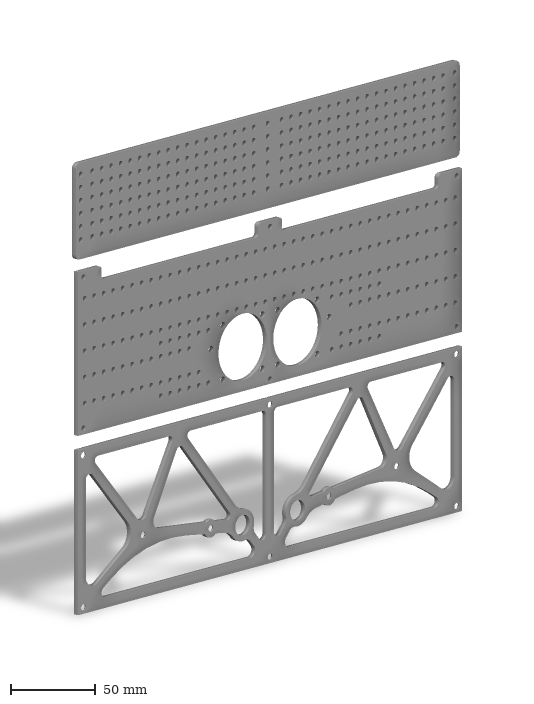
import cadquery as cq
import math


THICKNESS = 3.15
PLATE_WIDTH = 323.5
ASSEMBLY_WIDTH = 325.5
PITCH = 40.0 / 5
GRID_HOLE_DIAMETER = 3.3
SCREW_Y = 157.2
RING_Y = 23.0

FRAME_HEIGHT = 100.5
RIM = 6.5
CORNER_SCREW_INSET = 4.0
COUNTERSINK_DIAMETER = 8.5
FRAME_HOLE_DIAMETER = 4.0
HUB_HOLE_CENTER = (106.8, 38.0)
ARM_HOLE_CENTER = (49.8, 31.0)
ARM_PAD_DIAMETER = 11.0
EYE_CENTER = (RING_Y, 27.7)
EYE_HOLE_DIAMETER = 12.5
EYE_DIAMETER = 19.5

FRAME_GAP = 8.8
MIDDLE_BOTTOM = FRAME_HEIGHT + FRAME_GAP
MIDDLE_HEIGHT = 100.0
MIDDLE_TOP = MIDDLE_BOTTOM + MIDDLE_HEIGHT
MIDDLE_COLUMNS = 40
MIDDLE_FIRST_ROW = 17.2
MIDDLE_ROWS = [
    (0, 0, MIDDLE_COLUMNS // 2),
    (2, 0, MIDDLE_COLUMNS // 2),
    (4, 0, MIDDLE_COLUMNS // 2),
    (5, 8, 6),
    (6, 0, 12),
    (8, 0, 13),
    (9, 8, 6),
]
NOTCH_DEPTH = 8.5
NOTCH_INNER_Y = 10.0
NOTCH_OUTER_Y = 142.0
NOTCH_RADIUS = 2.3
EDGE_SCREW_DIAMETER = 3.3
EDGE_SCREW_INSET = 4.0
CENTER_SCREW_INSET = 3.0
OPENING_DIAMETER = 40.7
OPENING_Z = MIDDLE_BOTTOM + 27.0
OPENING_SCREW_DIAMETER = 4.0
OPENING_SCREW_OFFSET = 16.5
SIDE_HOLE_Y = 49.8
SIDE_HOLE_RISE = 4.0

MIDDLE_GAP = 7.5
STRIP_BOTTOM = MIDDLE_TOP + MIDDLE_GAP
STRIP_HEIGHT = 59.0
STRIP_Y = PLATE_WIDTH - ASSEMBLY_WIDTH
STRIP_RADIUS = 3.3
STRIP_ROWS = 6
STRIP_FIRST_ROW = 7.0
STRIP_GROUP_COLUMNS = 18
STRIP_GROUP_START = 11.7
STRIP_EDGE_COLUMN = 157.5


def face_plane():
    """Front face, drawn in Y and Z and extruded along +X."""
    return cq.Workplane("YZ")


def drill(plate, centers, diameter):
    """Cut round holes through a plate."""
    pins = face_plane().pushPoints(centers).circle(diameter / 2).extrude(THICKNESS)
    return plate.cut(pins)


def mirrored(points):
    """The points together with their mirror images across Y = 0."""
    return points + [(-y, z) for y, z in points]


def rounded_prism(corners):
    """Plate-thick prism over a polygon of (y, z, radius) corners, each rounded by its radius."""
    outline = None
    for index, (y, z, radius) in enumerate(corners):
        corner = cq.Vector(y, z)
        before = cq.Vector(*corners[index - 1][:2]) - corner
        after = cq.Vector(*corners[(index + 1) % len(corners)][:2]) - corner
        before = before.normalized()
        after = after.normalized()
        half_angle = before.getAngle(after) / 2
        tangent_length = radius / math.tan(half_angle)
        start = corner + before * tangent_length
        end = corner + after * tangent_length
        bisector = (before + after).normalized()
        middle = corner + bisector * (radius / math.sin(half_angle) - radius)
        if outline is None:
            outline = face_plane().moveTo(start.x, start.y)
        else:
            outline = outline.lineTo(start.x, start.y)
        outline = outline.threePointArc((middle.x, middle.y), (end.x, end.y))
    return outline.close().extrude(THICKNESS)


WINDOW_SIDE = PLATE_WIDTH / 2 - RIM
WINDOW_TOP = FRAME_HEIGHT - RIM
POST_SIDE = RIM / 2

SIDE_WINDOW = [
    (WINDOW_SIDE, 89.8, 3.3),
    (112.0, 39.5, 11.0),
    (WINDOW_SIDE, 9.8, 6.5),
]
UPPER_WINDOW = [
    (150.7, WINDOW_TOP, 2.5),
    (80.5, WINDOW_TOP, 2.5),
    (107.5, 44.0, 4.5),
]
MIDDLE_WINDOW = [
    (76.5, 89.0, 3.3),
    (30.3, 33.0, 2.3),
    (101.2, 40.5, 5.2),
]
POST_WINDOW = [
    (72.5, WINDOW_TOP, 2.5),
    (POST_SIDE, WINDOW_TOP, 3.3),
    (POST_SIDE, 9.5, 3.3),
]
LOWER_WINDOW = [
    (149.5, RIM, 3.3),
    (105.5, 35.8, 91.0),
    (22.5, 23.8, 1.0),
    (8.0, RIM, 4.0),
]
MATCH_TOLERANCE = 0.003
EYE_BLEND_FAR = 13.0
EYE_BLEND_NEAR = 5.0


def eye_window(corners):
    """Window that leaves room for the round eye, blended where the eye meets the bars."""
    eye = face_plane().center(*EYE_CENTER).circle(EYE_DIAMETER / 2).extrude(THICKNESS)
    window = rounded_prism(corners).cut(eye)
    junctions = []
    for edge in window.edges("|X").vals():
        point = edge.Center()
        reach = math.hypot(point.y - EYE_CENTER[0], point.z - EYE_CENTER[1])
        if abs(reach - EYE_DIAMETER / 2) < MATCH_TOLERANCE:
            junctions.append(edge)
    near, far = [edge.Center().toTuple() for edge in sorted(junctions, key=lambda edge: edge.Center().y)]
    window = window.edges(cq.NearestToPointSelector(near)).fillet(EYE_BLEND_NEAR)
    return window.edges(cq.NearestToPointSelector(far)).fillet(EYE_BLEND_FAR)


def make_frame():
    frame = face_plane().rect(PLATE_WIDTH, FRAME_HEIGHT).extrude(THICKNESS)
    frame = frame.translate((0, 0, FRAME_HEIGHT / 2))
    windows = [rounded_prism(corners) for corners in (SIDE_WINDOW, UPPER_WINDOW, MIDDLE_WINDOW)]
    windows += [eye_window(corners) for corners in (POST_WINDOW, LOWER_WINDOW)]
    for window in windows:
        frame = frame.cut(window).cut(window.mirror("XZ"))

    pads = face_plane().pushPoints(mirrored([ARM_HOLE_CENTER])).circle(ARM_PAD_DIAMETER / 2)
    frame = frame.union(pads.extrude(THICKNESS))
    frame = drill(frame, mirrored([EYE_CENTER]), EYE_HOLE_DIAMETER)

    screws = mirrored([HUB_HOLE_CENTER, ARM_HOLE_CENTER])
    for z in (CORNER_SCREW_INSET, FRAME_HEIGHT - CORNER_SCREW_INSET):
        screws += [(y, z) for y in (-SCREW_Y, 0, SCREW_Y)]
    frame = drill(frame, screws, FRAME_HOLE_DIAMETER)
    sink_depth = (COUNTERSINK_DIAMETER - FRAME_HOLE_DIAMETER) / 2
    for y, z in screws:
        sink = cq.Solid.makeCone(
            COUNTERSINK_DIAMETER / 2,
            FRAME_HOLE_DIAMETER / 2,
            sink_depth,
            pnt=cq.Vector(0, y, z),
            dir=cq.Vector(1, 0, 0),
        )
        frame = frame.cut(cq.Workplane(sink))
    return frame


def notch(inner_y, outer_y):
    """Shallow recess in the top edge, rounded at its floor and at its mouth."""
    floor = MIDDLE_TOP - NOTCH_DEPTH
    r = NOTCH_RADIUS
    s = r * math.sqrt(0.5)
    return (
        face_plane()
        .moveTo(inner_y - r, MIDDLE_TOP)
        .threePointArc((inner_y - r + s, MIDDLE_TOP - r + s), (inner_y, MIDDLE_TOP - r))
        .lineTo(inner_y, floor + r)
        .threePointArc((inner_y + r - s, floor + r - s), (inner_y + r, floor))
        .lineTo(outer_y - r, floor)
        .threePointArc((outer_y - r + s, floor + r - s), (outer_y, floor + r))
        .lineTo(outer_y, MIDDLE_TOP - r)
        .threePointArc((outer_y + r - s, MIDDLE_TOP - r + s), (outer_y + r, MIDDLE_TOP))
        .close()
        .extrude(THICKNESS)
    )


def middle_grid():
    """Centres of the grid holes on the +Y half of the middle plate."""
    first_row = MIDDLE_TOP - MIDDLE_FIRST_ROW
    outer_y = PITCH * (MIDDLE_COLUMNS - 1) / 2
    return [
        (outer_y - PITCH * column, first_row - PITCH * depth)
        for depth, start, count in MIDDLE_ROWS
        for column in range(start, start + count)
    ]


def make_middle_plate():
    plate = face_plane().rect(PLATE_WIDTH, MIDDLE_HEIGHT).extrude(THICKNESS)
    plate = plate.translate((0, 0, MIDDLE_BOTTOM + MIDDLE_HEIGHT / 2))
    recess = notch(NOTCH_INNER_Y, NOTCH_OUTER_Y)
    plate = plate.cut(recess).cut(recess.mirror("XZ"))
    plate = drill(plate, mirrored([(RING_Y, OPENING_Z)]), OPENING_DIAMETER)
    plate = drill(plate, mirrored(middle_grid()), GRID_HOLE_DIAMETER)

    offsets = (-OPENING_SCREW_OFFSET, OPENING_SCREW_OFFSET)
    opening_screws = [(RING_Y + dy, OPENING_Z + dz) for dy in offsets for dz in offsets]
    opening_screws.append((SIDE_HOLE_Y, OPENING_Z + SIDE_HOLE_RISE))
    edge_screws = mirrored([
        (SCREW_Y, MIDDLE_TOP - EDGE_SCREW_INSET),
        (SCREW_Y, MIDDLE_BOTTOM + EDGE_SCREW_INSET),
    ])
    edge_screws.append((0, MIDDLE_TOP - EDGE_SCREW_INSET))
    edge_screws.append((0, MIDDLE_BOTTOM + CENTER_SCREW_INSET))
    plate = drill(plate, mirrored(opening_screws), OPENING_SCREW_DIAMETER)
    return drill(plate, edge_screws, EDGE_SCREW_DIAMETER)


def make_strip():
    strip = face_plane().rect(PLATE_WIDTH, STRIP_HEIGHT).extrude(THICKNESS)
    strip = strip.edges("|X").fillet(STRIP_RADIUS)
    strip = strip.translate((0, STRIP_Y, STRIP_BOTTOM + STRIP_HEIGHT / 2))
    group = [STRIP_GROUP_START + PITCH * column for column in range(STRIP_GROUP_COLUMNS)]
    side_columns = group + [STRIP_EDGE_COLUMN]
    columns = [0] + side_columns + [-y for y in side_columns]
    first_row = STRIP_BOTTOM + STRIP_HEIGHT - STRIP_FIRST_ROW
    centers = [
        (STRIP_Y + y, first_row - PITCH * row) for row in range(STRIP_ROWS) for y in columns
    ]
    return drill(strip, centers, GRID_HOLE_DIAMETER)


frame = make_frame()
middle_plate = make_middle_plate()
strip = make_strip()

result = cq.Compound.makeCompound([frame.val(), middle_plate.val(), strip.val()])